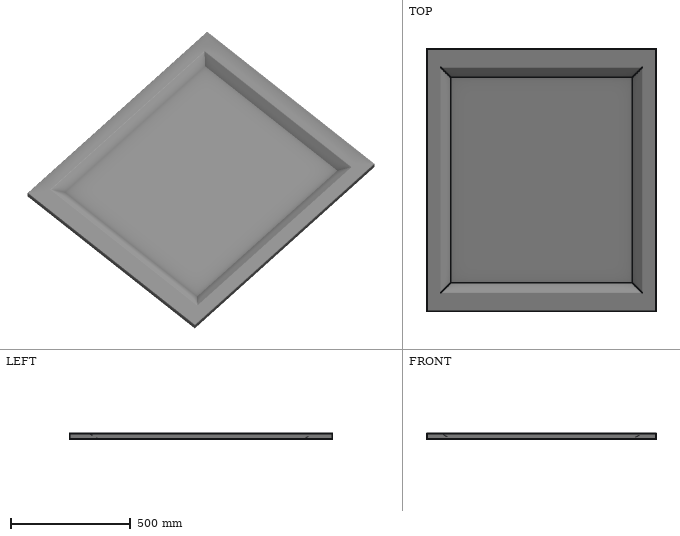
import cadquery as cq
import math

width = 960.0
length = 1100.0
thickness = 25.0

stile_width = 60.0
rail_width = 80.0

shoulder_offset = 53.5

outer_chamfer = 1.8
inner_flare = 2.0

floor_thickness = 1.0
bevel_width = 40.5
bevel_angle = 30.0

half_width = width / 2
half_length = length / 2
opening_half_width = half_width - stile_width
opening_half_length = half_length - rail_width
shoulder_y = half_length - shoulder_offset
mitre_run = rail_width - shoulder_offset
shoulder_x = opening_half_width + mitre_run
bevel_depth = bevel_width * math.tan(math.radians(bevel_angle))
bevel_top = floor_thickness + bevel_depth


def make_rail():
    """Rail across the +Y end, reaching the full width of the part."""
    outline = [
        (-half_width, half_length),
        (half_width, half_length),
        (half_width, shoulder_y),
        (shoulder_x, shoulder_y),
        (opening_half_width, opening_half_length),
        (-opening_half_width, opening_half_length),
        (-shoulder_x, shoulder_y),
        (-half_width, shoulder_y),
    ]
    return cq.Workplane("XY").polyline(outline).close().extrude(thickness)


def make_stile():
    """Stile along the +X side, fitted between the two rails."""
    outline = [
        (half_width, shoulder_y),
        (shoulder_x, shoulder_y),
        (opening_half_width, opening_half_length),
        (opening_half_width, -opening_half_length),
        (shoulder_x, -shoulder_y),
        (half_width, -shoulder_y),
    ]
    return cq.Workplane("XY").polyline(outline).close().extrude(thickness)


def make_funnel(bottom_z, bottom_margin, top_z, top_margin):
    """Tapered block around the opening; each margin is how far a side lies outside the opening."""
    return (
        cq.Workplane("XY", origin=(0, 0, bottom_z))
        .rect(2 * (opening_half_width + bottom_margin), 2 * (opening_half_length + bottom_margin))
        .workplane(offset=top_z - bottom_z)
        .rect(2 * (opening_half_width + top_margin), 2 * (opening_half_length + top_margin))
        .loft(ruled=True)
    )


def make_panel():
    """Panel filling the opening, with bevels sloping down to the floor."""
    block = cq.Workplane("XY").rect(2 * opening_half_width, 2 * opening_half_length).extrude(bevel_top)
    dish = make_funnel(floor_thickness, -bevel_width, bevel_top, 0)
    return block.cut(dish)


def make_frame_envelope():
    """Space the frame may fill: outer top edges chamfered, opening edges flared."""
    block = cq.Workplane("XY").box(width, length, thickness, centered=(True, True, False))
    block = block.faces(">Z").edges().chamfer(outer_chamfer)
    flare = make_funnel(bevel_top, 0, thickness, inner_flare)
    return block.cut(flare)


frame_envelope = make_frame_envelope()
result = make_panel()
for member in (make_rail(), make_stile()):
    shaped = member.intersect(frame_envelope)
    for angle in (0, 180):
        placed = shaped.rotate((0, 0, 0), (0, 0, 1), angle)
        result = result.union(placed, clean=False)